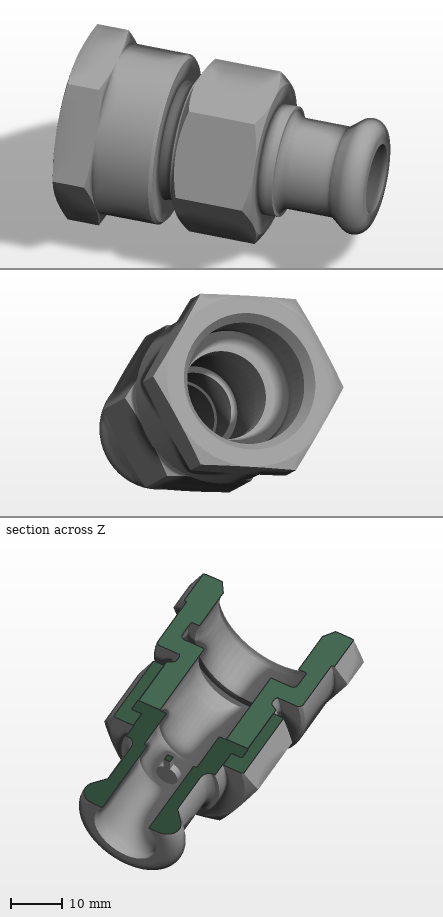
import cadquery as cq
import math

OVERALL_LENGTH = 61.0
WRENCH_CHAMFER_ANGLE = 30.0

ADAPTER_HEX_FLATS = 34.0
ADAPTER_HEX_LENGTH = 8.0
ADAPTER_HEX_CHAMFER_ANGLE = 16.5
BARREL_RADIUS = ADAPTER_HEX_FLATS / 2
BARREL_END = 20.1
BARREL_CHAMFER = 0.6
NECK_RADIUS = 23.4 / 2
NECK_START = 21.05
NECK_END = 21.5
BARREL_SIDE_FILLET = 1.7
THREAD_SIDE_FILLET = 1.0
THREAD_RADIUS = 26.4 / 2
THREAD_END = 34.15
SOCKET_RADIUS = 24.1 / 2
SOCKET_MOUTH_RADIUS = 27.1 / 2
SOCKET_MOUTH_DEPTH = 2.4
RELIEF_START = 11.95
RELIEF_RADIUS = 27.5 / 2
SOCKET_DEPTH = 16.35
SOCKET_FLOOR_FILLET = 1.0
ADAPTER_BORE_RADIUS = 17.5 / 2

NUT_FLATS = 30.0
NUT_START = 23.9
NUT_END = 40.1
NUT_LIP = 3.5

COLLAR_RADIUS = 22.1 / 2
COLLAR_END = 43.05
SHOULDER_RADIUS = 10.2
TUBE_RADIUS = 18.2 / 2
TUBE_START = 44.95
TUBE_END = 54.0
BEAD_RADIUS = 11.6
BEAD_TUBE_RADIUS = 2.8
BEAD_FLARE_ANGLE = 39.0
INLET_RADIUS = 15.0 / 2
THROAT_RADIUS = 13.9 / 2
DISC_RADIUS = 4.8 / 2
STEM_WIDTH = 1.4
DISC_THICKNESS = 1.4

EDGE_MARGIN = 0.6


def revolve(profile):
    """Revolve a closed (x, radius) outline about the X axis."""
    return profile.close().revolve(360, (0, 0, 0), (1, 0, 0))


def rod(start, end, radius):
    return cq.Workplane("YZ").workplane(offset=start).circle(radius).extrude(end - start)


def chamfered_hex(start, end, flats, chamfer_angle):
    """Hexagonal prism with corners on the Y axis and conically chamfered ends."""
    across_corners = flats / math.cos(math.radians(30))
    prism = (
        cq.Workplane("YZ").workplane(offset=start).polygon(6, across_corners).extrude(end - start)
    )
    outer = across_corners / 2 + EDGE_MARGIN
    chamfer_depth = (outer - flats / 2) * math.tan(math.radians(chamfer_angle))
    envelope = revolve(
        cq.Workplane("XY")
        .moveTo(start, 0)
        .lineTo(start, flats / 2)
        .lineTo(start + chamfer_depth, outer)
        .lineTo(end - chamfer_depth, outer)
        .lineTo(end, flats / 2)
        .lineTo(end, 0)
    )
    return prism.intersect(envelope)


def adapter_body():
    """Barrel, rounded neck and male thread cylinder."""
    sweep = math.radians(90 - WRENCH_CHAMFER_ANGLE)
    middle = sweep / 2
    arc_end_radius = NECK_RADIUS + THREAD_SIDE_FILLET * (1 - math.cos(sweep))
    arc_end = NECK_END + THREAD_SIDE_FILLET * math.sin(sweep)
    thread_start = arc_end + (THREAD_RADIUS - arc_end_radius) / math.tan(sweep)
    neck_run = NECK_START - BARREL_END
    rise = BARREL_SIDE_FILLET - math.sqrt(BARREL_SIDE_FILLET**2 - neck_run**2)
    half_run = neck_run / 2
    half_rise = BARREL_SIDE_FILLET - math.sqrt(BARREL_SIDE_FILLET**2 - half_run**2)
    return revolve(
        cq.Workplane("XY")
        .lineTo(0, ADAPTER_BORE_RADIUS)
        .lineTo(ADAPTER_HEX_LENGTH / 2, ADAPTER_BORE_RADIUS)
        .lineTo(ADAPTER_HEX_LENGTH / 2, BARREL_RADIUS)
        .lineTo(BARREL_END - BARREL_CHAMFER, BARREL_RADIUS)
        .lineTo(BARREL_END, BARREL_RADIUS - BARREL_CHAMFER)
        .lineTo(BARREL_END, NECK_RADIUS + rise)
        .threePointArc((NECK_START - half_run, NECK_RADIUS + half_rise), (NECK_START, NECK_RADIUS))
        .lineTo(NECK_END, NECK_RADIUS)
        .threePointArc(
            (
                NECK_END + THREAD_SIDE_FILLET * math.sin(middle),
                NECK_RADIUS + THREAD_SIDE_FILLET * (1 - math.cos(middle)),
            ),
            (arc_end, arc_end_radius),
        )
        .lineTo(thread_start, THREAD_RADIUS)
        .lineTo(THREAD_END, THREAD_RADIUS)
        .lineTo(THREAD_END, 0)
    )


def socket_cavity():
    """Tapered mouth, bore, undercut relief and rounded floor of the female end."""
    arc_offset = SOCKET_FLOOR_FILLET * (1 - math.sqrt(0.5))
    return revolve(
        cq.Workplane("XY")
        .lineTo(0, SOCKET_MOUTH_RADIUS)
        .lineTo(SOCKET_MOUTH_DEPTH, SOCKET_RADIUS)
        .lineTo(RELIEF_START, SOCKET_RADIUS)
        .lineTo(RELIEF_START, RELIEF_RADIUS)
        .lineTo(SOCKET_DEPTH - SOCKET_FLOOR_FILLET, RELIEF_RADIUS)
        .threePointArc(
            (SOCKET_DEPTH - arc_offset, RELIEF_RADIUS - arc_offset),
            (SOCKET_DEPTH, RELIEF_RADIUS - SOCKET_FLOOR_FILLET),
        )
        .lineTo(SOCKET_DEPTH, 0)
    )


def make_adapter():
    hexagon = chamfered_hex(0, ADAPTER_HEX_LENGTH, ADAPTER_HEX_FLATS, ADAPTER_HEX_CHAMFER_ANGLE)
    bore = rod(SOCKET_DEPTH - EDGE_MARGIN, THREAD_END + EDGE_MARGIN, ADAPTER_BORE_RADIUS)
    return hexagon.union(adapter_body()).cut(socket_cavity()).cut(bore)


def make_nut():
    """Union nut: thread bore from the adapter side, lip around the collar at the far end."""
    hexagon = chamfered_hex(NUT_START, NUT_END, NUT_FLATS, WRENCH_CHAMFER_ANGLE)
    thread_bore = rod(NUT_START - EDGE_MARGIN, NUT_END - NUT_LIP, THREAD_RADIUS)
    collar_hole = rod(NUT_START, NUT_END + EDGE_MARGIN, COLLAR_RADIUS)
    return hexagon.cut(thread_bore).cut(collar_hole)


def tailpiece_body():
    """Clamped flange, collar, tube and rolled bead."""
    shoulder_run = TUBE_START - COLLAR_END
    shoulder_rise = SHOULDER_RADIUS - TUBE_RADIUS
    shoulder_arc = (shoulder_run**2 + shoulder_rise**2) / (2 * shoulder_rise)
    half_run = shoulder_run / 2
    half_rise = shoulder_arc - math.sqrt(shoulder_arc**2 - half_run**2)
    flare = math.radians(BEAD_FLARE_ANGLE)
    bead_x = OVERALL_LENGTH - BEAD_TUBE_RADIUS
    bead_centre = BEAD_RADIUS - BEAD_TUBE_RADIUS
    bead_start = (
        bead_x - BEAD_TUBE_RADIUS * math.sin(flare),
        bead_centre + BEAD_TUBE_RADIUS * math.cos(flare),
    )
    return revolve(
        cq.Workplane("XY")
        .moveTo(THREAD_END, 0)
        .lineTo(THREAD_END, THREAD_RADIUS)
        .lineTo(NUT_END - NUT_LIP, THREAD_RADIUS)
        .lineTo(NUT_END - NUT_LIP, COLLAR_RADIUS)
        .lineTo(COLLAR_END, COLLAR_RADIUS)
        .lineTo(COLLAR_END, SHOULDER_RADIUS)
        .threePointArc((TUBE_START - half_run, TUBE_RADIUS + half_rise), (TUBE_START, TUBE_RADIUS))
        .lineTo(TUBE_END, TUBE_RADIUS)
        .lineTo(*bead_start)
        .threePointArc((bead_x, BEAD_RADIUS), (OVERALL_LENGTH, bead_centre))
        .lineTo(OVERALL_LENGTH, 0)
    )


def bore_disc():
    """Central disc on a radial stem, flush with the step in the tailpiece bore."""
    stem_length = THROAT_RADIUS + EDGE_MARGIN
    stem = (
        cq.Workplane("YZ")
        .workplane(offset=COLLAR_END)
        .center(0, stem_length / 2)
        .rect(STEM_WIDTH, stem_length)
        .extrude(DISC_THICKNESS)
    )
    return rod(COLLAR_END, COLLAR_END + DISC_THICKNESS, DISC_RADIUS).union(stem)


def make_tailpiece():
    inlet = rod(THREAD_END - EDGE_MARGIN, COLLAR_END, INLET_RADIUS)
    throat = rod(COLLAR_END - EDGE_MARGIN, OVERALL_LENGTH + EDGE_MARGIN, THROAT_RADIUS)
    return tailpiece_body().cut(inlet).cut(throat).union(bore_disc())


adapter = make_adapter()
nut = make_nut()
tailpiece = make_tailpiece()

result = cq.Compound.makeCompound([adapter.val(), nut.val(), tailpiece.val()])